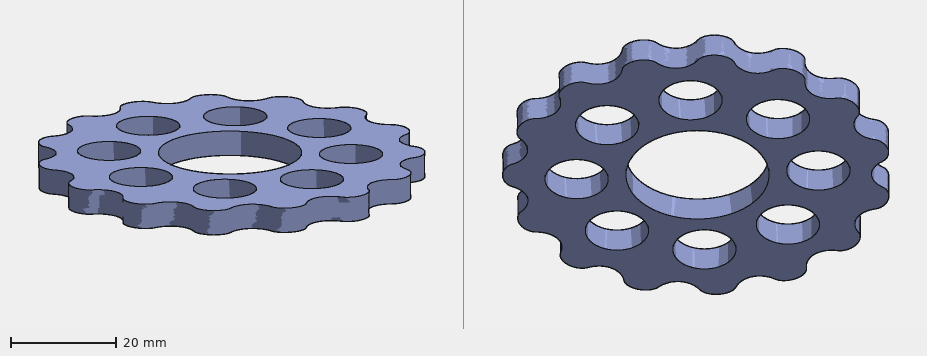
import cadquery as cq
import math

outer_size = 73.65
thickness = 4.85
lobe_count = 15
eccentricity = 2.0
roller_radius = 4.5
lobe_tip_curvature = 4.8
bore_diameter = 27.2
hole_count = 8
hole_diameter = 12.0
hole_circle_radius = 23.0
points_per_lobe = 16

lobe_pitch = 360.0 / lobe_count
top_lobe_angle = round(90.0 / lobe_pitch) * lobe_pitch
tip_arc_rise = outer_size / 2 - lobe_tip_curvature
tip_radius = lobe_tip_curvature + tip_arc_rise / math.sin(math.radians(top_lobe_angle))

roller_count = lobe_count + 1
roller_circle_radius = tip_radius + roller_radius - eccentricity


def cycloid_point(angle):
    """Point of the disc edge: an epitrochoid offset inward by the roller radius."""
    fast = roller_count * angle
    x = roller_circle_radius * math.cos(angle) + eccentricity * math.cos(fast)
    y = roller_circle_radius * math.sin(angle) + eccentricity * math.sin(fast)

    fast_speed = eccentricity * roller_count
    dx = -roller_circle_radius * math.sin(angle) - fast_speed * math.sin(fast)
    dy = roller_circle_radius * math.cos(angle) + fast_speed * math.cos(fast)
    speed = math.hypot(dx, dy)
    return (x - roller_radius * dy / speed, y + roller_radius * dx / speed)


def lobed_disc():
    """Solid cycloidal disc, centred on the Z axis."""
    point_count = lobe_count * points_per_lobe
    edge_points = [cycloid_point(2 * math.pi * i / point_count) for i in range(point_count)]
    return cq.Workplane("XY").spline(edge_points, periodic=True, makeWire=True).extrude(thickness)


disc = lobed_disc()

disc = disc.faces(">Z").workplane(origin=(0, 0, 0)).hole(bore_diameter)

result = (
    disc.faces(">Z")
    .workplane(origin=(0, 0, 0))
    .polarArray(hole_circle_radius, 0, 360, hole_count)
    .hole(hole_diameter)
)